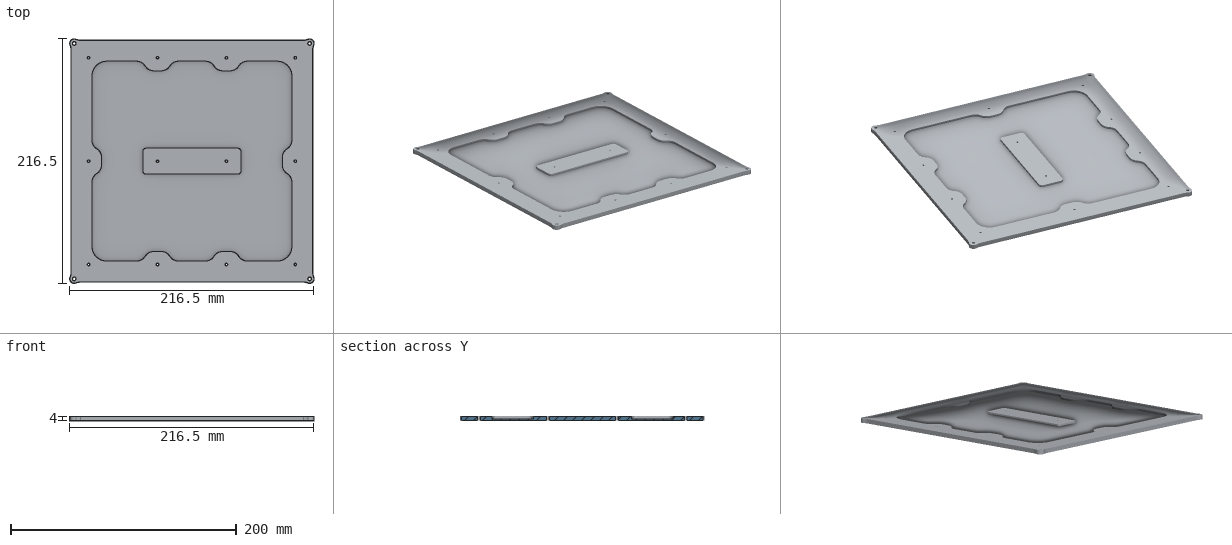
import cadquery as cq
import math

thickness = 4.0
overall_width = 216.48
ear_radius = 4.0
ear_center = overall_width / 2 - ear_radius
ear_overhang = 1.1
plate_half = overall_width / 2 - ear_overhang
ear_neck_radius = 10.0
ear_hole_diameter = 3.0

screw_pitch = 61.0
screw_edge = 1.5 * screw_pitch
screw_inner = 0.5 * screw_pitch
screw_diameter = 2.0

pocket_depth = 2.0
pocket_half = 88.5
pocket_corner_radius = 13.0
bay_depth = 8.5
bay_flat_half = 3.3
bay_radius = 9.0

island_length = 87.0
island_width = 23.0
island_corner_radius = 3.0

CORNER_SIGNS = [(sx, sy) for sx in (-1, 1) for sy in (-1, 1)]


def make_plate():
    """Plate outline: straight sides joined to the corner ears by concave necks."""
    side_offset = plate_half - ear_center
    arc_center_out = side_offset + ear_neck_radius
    arc_center_back = math.sqrt((ear_radius + ear_neck_radius) ** 2 - arc_center_out ** 2)
    ear_share = ear_radius / (ear_radius + ear_neck_radius)
    touch_out = arc_center_out * ear_share
    touch_back = arc_center_back * ear_share
    start_angle = math.atan2(arc_center_out, arc_center_back)
    mid_angle = (start_angle + math.pi / 2) / 2
    mid_back = arc_center_back - ear_neck_radius * math.cos(mid_angle)
    mid_out = arc_center_out - ear_neck_radius * math.sin(mid_angle)
    ear_tip = ear_radius * math.sqrt(0.5)

    def place(dx, dy, quarter_turns):
        """Point offset from the +X +Y ear centre, then turned clockwise to another corner."""
        x, y = ear_center + dx, ear_center + dy
        for _ in range(quarter_turns):
            x, y = y, -x
        return x, y

    outline = cq.Workplane("XY").moveTo(*place(side_offset, -arc_center_back, 3))
    for turns in range(4):
        outline = (
            outline
            .lineTo(*place(-arc_center_back, side_offset, turns))
            .threePointArc(place(-mid_back, mid_out, turns), place(-touch_back, touch_out, turns))
            .threePointArc(place(ear_tip, ear_tip, turns), place(touch_out, -touch_back, turns))
            .threePointArc(place(mid_out, -mid_back, turns), place(side_offset, -arc_center_back, turns))
        )
    return outline.close().extrude(thickness)


def make_bay(position, turn):
    """Lobe of standing material reaching into the pocket from its top side, turned about Z."""
    sweep = math.acos(1 - bay_depth / (2 * bay_radius))
    arc_run = bay_radius * math.sin(sweep)
    half_run = bay_radius * math.sin(sweep / 2)
    half_rise = bay_radius * (1 - math.cos(sweep / 2))
    tip = pocket_half - bay_depth
    middle = pocket_half - bay_depth / 2
    flank_middle = bay_flat_half + arc_run
    flank_end = bay_flat_half + 2 * arc_run

    def at(dx, y):
        return position + dx, y

    return (
        cq.Workplane("XY")
        .workplane(offset=thickness - pocket_depth)
        .moveTo(*at(-flank_end, pocket_half))
        .threePointArc(at(half_run - flank_end, pocket_half - half_rise), at(-flank_middle, middle))
        .threePointArc(at(-bay_flat_half - half_run, tip + half_rise), at(-bay_flat_half, tip))
        .lineTo(*at(bay_flat_half, tip))
        .threePointArc(at(bay_flat_half + half_run, tip + half_rise), at(flank_middle, middle))
        .threePointArc(at(flank_end - half_run, pocket_half - half_rise), at(flank_end, pocket_half))
        .close()
        .extrude(pocket_depth)
        .rotate((0, 0, 0), (0, 0, 1), turn)
    )


def rounded_block(length, width, corner_radius):
    """Block with rounded vertical edges, filling the height of the pocket."""
    return (
        cq.Workplane("XY")
        .workplane(offset=thickness - pocket_depth)
        .rect(length, width)
        .extrude(pocket_depth)
        .edges("|Z")
        .fillet(corner_radius)
    )


def make_pocket():
    pocket = rounded_block(2 * pocket_half, 2 * pocket_half, pocket_corner_radius)
    for turn in (0, 180):
        for position in (-screw_inner, screw_inner):
            pocket = pocket.cut(make_bay(position, turn))
    for turn in (90, 270):
        pocket = pocket.cut(make_bay(0, turn))
    return pocket.cut(rounded_block(island_length, island_width, island_corner_radius))


def through_holes(points, diameter):
    return cq.Workplane("XY").pushPoints(points).circle(diameter / 2).extrude(thickness)


ear_points = [(sx * ear_center, sy * ear_center) for sx, sy in CORNER_SIGNS]
screw_columns = (-screw_edge, -screw_inner, screw_inner, screw_edge)
screw_rows = (-screw_edge, 0, screw_edge)
screw_points = [(x, y) for x in screw_columns for y in screw_rows]

result = (
    make_plate()
    .cut(make_pocket())
    .cut(through_holes(ear_points, ear_hole_diameter))
    .cut(through_holes(screw_points, screw_diameter))
)